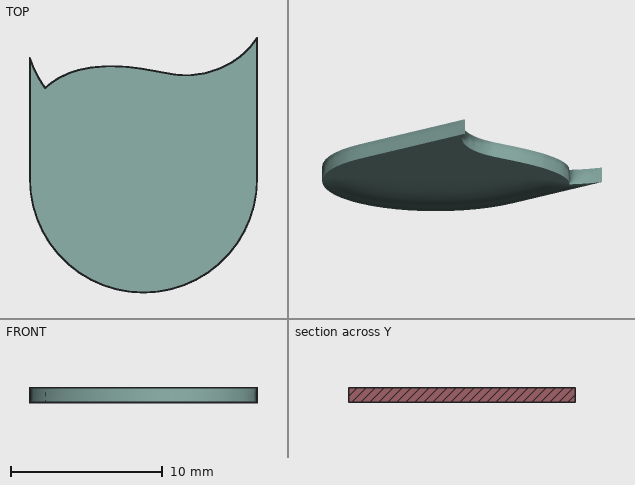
import cadquery as cq

width = 15.0
length = 16.82
thickness = 1.0

radius = width / 2
right_tip = (radius, length - radius)
left_tip = (-radius, 7.99)
notch = (-6.5, 6.0)
notch_flank_middle = (-7.06, 6.95)

wave_points = [
    (-4.71, 7.06),
    (-2.17, 7.45),
    (0.17, 7.23),
    (3.06, 6.85),
    (5.05, 7.3),
]

outline = (
    cq.Workplane("XY")
    .moveTo(-radius, 0)
    .threePointArc((0, -radius), (radius, 0))
    .lineTo(*right_tip)
    .spline(wave_points[::-1] + [notch], includeCurrent=True)
    .threePointArc(notch_flank_middle, left_tip)
    .close()
)

result = outline.extrude(thickness)